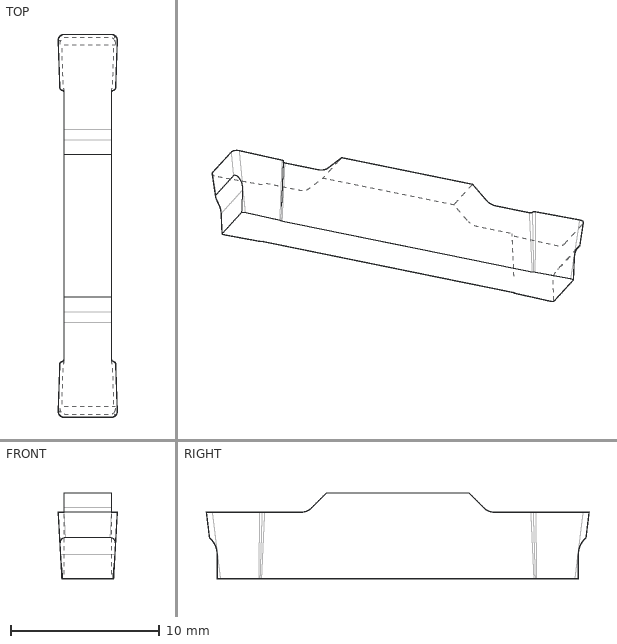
import math

import cadquery as cq

length = 25.8
half_length = length / 2
overall_height = 5.79
deck_height = 4.5

shank_width = 3.2
half_shank = shank_width / 2
crown_length = 9.6
ramp_angle = math.radians(45)
ramp_fillet = 1.0

head_width = 4.0
corner_radius = 0.4
back_taper = math.radians(2)
side_relief = math.radians(3.2)
front_relief = math.radians(7)
head_length = 3.6
shoulder_lean = math.radians(0.8)
shoulder_radius = 0.17
head_root = 8.0

recess_top = 2.78
recess_bottom = 1.63
recess_depth = 0.73


def head_outline(height):
    """Closed outline of the +Y head at the given height, symmetric about X = 0."""
    drop = deck_height - height
    half_width = head_width / 2 - drop * math.tan(side_relief)
    tip = half_length - drop * math.tan(front_relief)
    back = half_length - head_length + drop * math.tan(shoulder_lean)

    arc_y = tip - corner_radius
    arc_x = half_width - corner_radius
    mid_angle = (math.pi / 2 - back_taper) / 2
    corner_mid = (
        arc_x + corner_radius * math.cos(mid_angle),
        arc_y + corner_radius * math.sin(mid_angle),
    )
    corner_end = (
        arc_x + corner_radius * math.cos(back_taper),
        arc_y - corner_radius * math.sin(back_taper),
    )
    back_x = corner_end[0] - (corner_end[1] - back) * math.tan(back_taper)

    half_step = (back_x - half_shank) / 2
    sweep = math.acos(1 - half_step / shoulder_radius)
    arc_run = shoulder_radius * math.sin(sweep)
    bulge_x = shoulder_radius * (1 - math.cos(sweep / 2))
    bulge_y = shoulder_radius * math.sin(sweep / 2)
    shoulder_mid = (back_x - half_step, back - arc_run)
    shoulder_end = (half_shank, back - 2 * arc_run)
    convex_mid = (back_x - bulge_x, back - bulge_y)
    concave_mid = (half_shank + bulge_x, shoulder_end[1] + bulge_y)

    def mirrored(point):
        return (-point[0], point[1])

    return (
        cq.Workplane("XY", origin=(0, 0, height))
        .moveTo(-half_shank, head_root)
        .lineTo(half_shank, head_root)
        .lineTo(*shoulder_end)
        .threePointArc(concave_mid, shoulder_mid)
        .threePointArc(convex_mid, (back_x, back))
        .lineTo(*corner_end)
        .threePointArc(corner_mid, (arc_x, tip))
        .lineTo(-arc_x, tip)
        .threePointArc(mirrored(corner_mid), mirrored(corner_end))
        .lineTo(-back_x, back)
        .threePointArc(mirrored(convex_mid), mirrored(shoulder_mid))
        .threePointArc(mirrored(concave_mid), mirrored(shoulder_end))
        .close()
        .val()
    )


def make_recess():
    """Cutter for the space in front of the +Y head, below its cutting edge."""
    lip_y = half_length - (deck_height - recess_top) * math.tan(front_relief)
    wall_y = half_length - recess_depth
    rise = recess_top - recess_bottom
    run = lip_y - wall_y

    radius = (rise**2 + run**2) / (2 * run)
    half_sweep = math.asin(rise / radius) / 2
    arc_mid = (
        wall_y + radius * (1 - math.cos(half_sweep)),
        recess_bottom + radius * math.sin(half_sweep),
    )
    return (
        cq.Workplane("YZ")
        .moveTo(half_length, 0)
        .lineTo(wall_y, 0)
        .lineTo(wall_y, recess_bottom)
        .threePointArc(arc_mid, (lip_y, recess_top))
        .lineTo(half_length, recess_top)
        .close()
        .extrude(head_width / 2, both=True)
    )


def make_head():
    """Relieved +Y cutting head with its front recess."""
    loft = cq.Solid.makeLoft([head_outline(0), head_outline(deck_height)], True)
    return cq.Workplane(loft).cut(make_recess())


def make_shank():
    """Straight-sided shank with a raised crown and filleted end ramps."""
    crown_y = crown_length / 2
    ramp_foot = crown_y + (overall_height - deck_height) / math.tan(ramp_angle)
    shank = (
        cq.Workplane("YZ")
        .polyline([
            (-head_root, 0),
            (head_root, 0),
            (head_root, deck_height),
            (ramp_foot, deck_height),
            (crown_y, overall_height),
            (-crown_y, overall_height),
            (-ramp_foot, deck_height),
            (-head_root, deck_height),
        ])
        .close()
        .extrude(half_shank, both=True)
    )
    for foot_y in (-ramp_foot, ramp_foot):
        foot_edge = cq.selectors.NearestToPointSelector((0, foot_y, deck_height))
        shank = shank.edges(foot_edge).fillet(ramp_fillet)
    return shank


head = make_head()
result = make_shank().union(head).union(head.mirror("XZ")).clean()